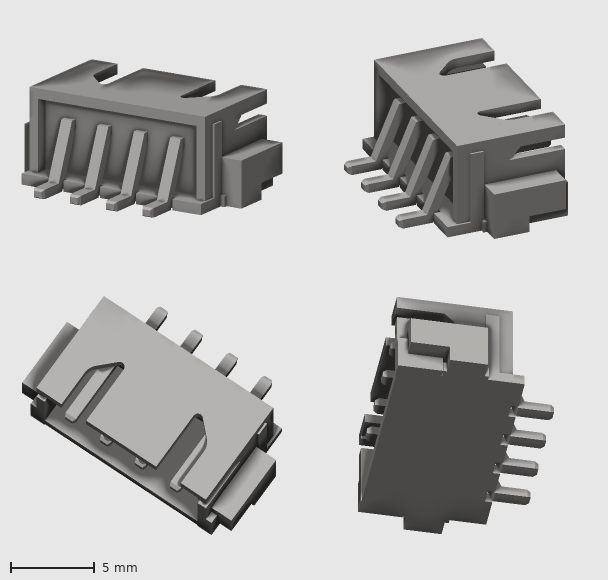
import cadquery as cq
import math


housing_width = 12.32
housing_depth = 7.04
housing_height = 5.92
side_wall = 0.6
roof_thickness = 0.65
cavity_width = housing_width - 2 * side_wall
cavity_top = housing_height - roof_thickness

base_width = 12.6
base_height = 0.68
base_back_y = -7.73
floor_setback = 0.05

plate_inner_y = -5.35
plate_outer_y = -6.19

pin_count = 4
pin_pitch = 2.54
pin_width = 0.75
pin_thickness = 0.6
pin_top = 4.12
pin_end_y = -9.92
pin_heel_y = -8.12
pin_lean = 23.2
pin_tip_length = 0.23
pin_tip_inset = 0.1
notch_width = 0.96
notch_depth = 0.44

key_inner_x = 2.54
key_outer_x = 4.33
key_shoulder_depth = 2.86
key_shoulder_radius = 1.06
key_end_radius = 0.3

side_slot_bottom = 4.27
side_slot_height = 0.76
side_slot_roof_depth = 2.89

ear_span = 15.21
ear_top = 2.98
ear_underside = 1.05
ear_front_y = -0.6
ear_leg_y = -2.97
ear_back_y = -5.26

pad_span = 13.14
front_pad_height = 2.25
front_pad_back_y = -2.7
rear_pad_front_y = -2.75
rear_pad_back_y = -5.5


def block(width, y_back, y_front, z_bottom, z_top):
    """Box centred on X = 0 and spanning the given Y and Z ranges."""
    depth = y_front - y_back
    height = z_top - z_bottom
    box = cq.Workplane("XY").box(width, depth, height, centered=(True, False, False))
    return box.translate((0, y_back, z_bottom))


def side_profile(points, width):
    """Extrude a (Y, Z) outline along X, centred on X = 0."""
    return cq.Workplane("YZ").polyline(points).close().extrude(width / 2, both=True)


def make_housing():
    shell = block(housing_width, -housing_depth, 0, 0, housing_height)
    mating_cavity = block(cavity_width, plate_inner_y, 0, base_height, cavity_top)
    floor_edge = block(cavity_width, -floor_setback, 0, 0, base_height)
    rear_recess = block(cavity_width, -housing_depth, plate_outer_y, base_height, cavity_top)
    return shell.cut(mating_cavity).cut(floor_edge).cut(rear_recess)


def make_wafer():
    plate = block(base_width, plate_outer_y, plate_inner_y, 0, cavity_top)
    foot = block(base_width, base_back_y, plate_inner_y, 0, base_height)
    return plate.union(foot)


def make_ears():
    outline = [
        (ear_front_y, ear_top),
        (ear_back_y, ear_top),
        (ear_back_y, 0),
        (ear_leg_y, 0),
        (ear_leg_y, ear_underside),
        (ear_front_y, ear_underside),
    ]
    inner_gap = block(cavity_width, ear_back_y, ear_front_y, 0, ear_top)
    return side_profile(outline, ear_span).cut(inner_gap)


def make_pads():
    front = block(pad_span, front_pad_back_y, 0, 0, front_pad_height)
    rear = block(pad_span, rear_pad_back_y, rear_pad_front_y, 0, base_height)
    inner_gap = block(cavity_width, rear_pad_back_y, 0, 0, front_pad_height)
    return front.union(rear).cut(inner_gap)


def make_key_slot():
    """Roof slot on the +X side: straight inner edge, 45 degree end, rounded corners."""
    end_depth = key_shoulder_depth + key_outer_x - key_inner_x
    slot = (
        cq.Workplane("XY", origin=(0, 0, cavity_top))
        .moveTo(key_inner_x, 0)
        .lineTo(key_outer_x, 0)
        .lineTo(key_outer_x, -key_shoulder_depth)
        .lineTo(key_inner_x, -end_depth)
        .close()
        .extrude(roof_thickness)
    )
    slot = slot.edges("|Z").edges("<Y").fillet(key_end_radius)
    shoulder_point = (key_outer_x, -key_shoulder_depth, housing_height)
    shoulder = cq.selectors.NearestToPointSelector(shoulder_point)
    return slot.edges("|Z").edges(shoulder).fillet(key_shoulder_radius)


def make_side_slots():
    side_slot_top = side_slot_bottom + side_slot_height
    outline = [
        (0, side_slot_bottom),
        (0, side_slot_top),
        (-side_slot_roof_depth, side_slot_top),
        (-side_slot_roof_depth - side_slot_height, side_slot_bottom),
    ]
    return side_profile(outline, housing_width)


def make_pin_tip():
    """Tapered tip pointing along +Y, with its root at Y = 0 and its underside at Z = 0."""
    return (
        cq.Workplane("XZ", origin=(0, 0, pin_thickness / 2))
        .rect(pin_width, pin_thickness)
        .workplane(offset=-pin_tip_length)
        .rect(pin_width - 2 * pin_tip_inset, pin_thickness - 2 * pin_tip_inset)
        .loft(ruled=True)
    )


def make_pin():
    """Pin at X = 0: level blade, leaning leg, level solder tail, both tips tapered."""
    lean = math.radians(pin_lean)
    blade_bottom = pin_top - pin_thickness
    shoulder_y = pin_heel_y + blade_bottom * math.tan(lean)
    bend_offset = pin_thickness * math.tan((math.pi / 2 - lean) / 2)
    blade_root_y = -pin_tip_length
    tail_root_y = pin_end_y + pin_tip_length
    outline = [
        (blade_root_y, pin_top),
        (shoulder_y, pin_top),
        (pin_heel_y, pin_thickness),
        (tail_root_y, pin_thickness),
        (tail_root_y, 0),
        (pin_heel_y + bend_offset, 0),
        (shoulder_y + bend_offset, blade_bottom),
        (blade_root_y, blade_bottom),
    ]
    tip = make_pin_tip()
    blade_tip = tip.translate((0, blade_root_y, blade_bottom))
    tail_tip = tip.mirror("XZ").translate((0, tail_root_y, 0))
    return side_profile(outline, pin_width).union(blade_tip).union(tail_tip)


def build_part():
    part = make_housing().union(make_wafer()).union(make_ears()).union(make_pads())

    key_slot = make_key_slot()
    part = part.cut(key_slot).cut(key_slot.mirror("YZ")).cut(make_side_slots())

    pin = make_pin()
    notch = block(notch_width, base_back_y, base_back_y + notch_depth, 0, base_height)
    for index in range(pin_count):
        pin_x = (index - (pin_count - 1) / 2) * pin_pitch
        part = part.cut(notch.translate((pin_x, 0, 0))).union(pin.translate((pin_x, 0, 0)))
    return part


result = build_part()